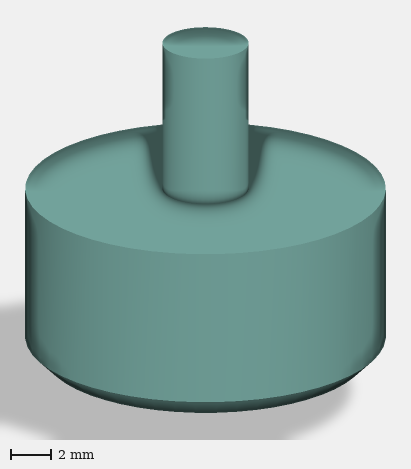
import cadquery as cq

overall_height = 19.1
body_diameter = 18.0
stud_diameter = 4.3
stud_length = 7.8
bevel_size = 0.94
cone_height = 2.43

body_radius = body_diameter / 2
stud_radius = stud_diameter / 2
cone_radius = body_radius - bevel_size
tip_z = stud_length - overall_height
cone_base_z = tip_z + cone_height
bevel_top_z = cone_base_z + bevel_size


def turned_profile():
    """Half section in the XZ plane, from the conical tip up to the stud end."""
    return (
        cq.Workplane("XZ")
        .moveTo(0, tip_z)
        .lineTo(cone_radius, cone_base_z)
        .lineTo(body_radius, bevel_top_z)
        .lineTo(body_radius, 0)
        .lineTo(stud_radius, 0)
        .lineTo(stud_radius, stud_length)
        .lineTo(0, stud_length)
        .close()
    )


result = turned_profile().revolve(360, (0, 0, 0), (0, 1, 0))